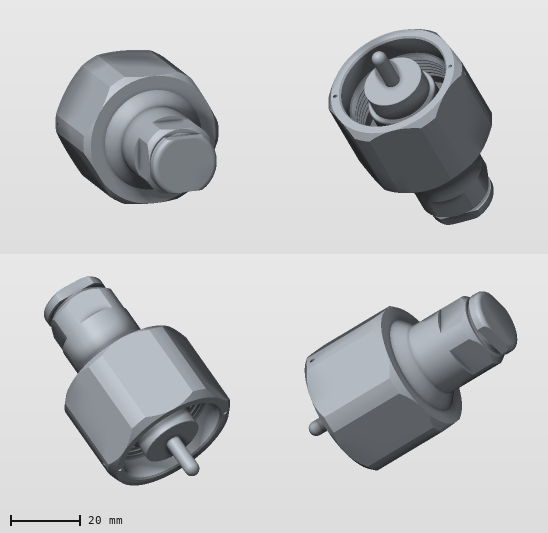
import cadquery as cq
import math


nut_front_x = 12.65
nut_rear_x = 40.4
cone_end_x = 44.1
flats_start_x = 54.85
body_end_x = 63.7
gland_front_x = 65.1
gland_rear_x = 68.4

nut_across_flats = 38.1
nut_corner_radius = 20.65
nut_chamfer_length = 2.0
bore_radius = 16.15
bore_chamfer_length = 0.55
bore_chamfer_depth = 0.5
cavity_floor_x = 32.15

lead_in_x = 19.9
lead_in_length = 0.5
thread_major_radius = 15.8
thread_minor_radius = 15.05
thread_start_x = 20.8
thread_start_radius = 15.3
thread_pitch = 1.45
thread_grooves = 6
thread_flat = 0.3
thread_flank = thread_pitch / 2 - thread_flat

wire_hole_radius = 0.55
wire_hole_face_radius = 17.7
wire_hole_exit_x = 16.75
wire_hole_overrun = 1.4

pin_radius = 2.2
core_radius = 8.8
core_chamfer = 0.15
collar_front_x = 19.3
collar_radius = 10.3
collar_round = 0.75
shoulder_x = 30.1

body_radius = 11.1
cone_radius = 14.85
body_across_flats = 19.15
body_chamfer_length = 1.7
neck_radius = 8.0
neck_bevel = 0.4

gland_radius = 9.8
gland_across_flats = 15.9
gland_round = 1.5


def revolve_about_x(profile):
    """Revolve a closed (x, radius) profile about the X axis."""
    return profile.close().revolve(360, (0, 0, 0), (1, 0, 0))


def cylinder(start_x, end_x, radius):
    """Solid cylinder on the X axis."""
    return cq.Workplane("YZ", origin=(start_x, 0, 0)).circle(radius).extrude(end_x - start_x)


def make_nut_blank():
    """Hexagon with corners on the Y axis, rounded off and chamfered at both ends."""
    length = nut_rear_x - nut_front_x
    hexagon = (
        cq.Workplane("YZ", origin=(nut_front_x, 0, 0))
        .polygon(6, nut_across_flats / math.cos(math.pi / 6))
        .extrude(length)
    )
    face_radius = nut_across_flats / 2
    envelope = revolve_about_x(
        cq.Workplane("XY")
        .moveTo(nut_front_x, 0)
        .lineTo(nut_front_x, face_radius)
        .lineTo(nut_front_x + nut_chamfer_length, nut_corner_radius)
        .lineTo(nut_rear_x - nut_chamfer_length, nut_corner_radius)
        .lineTo(nut_rear_x, face_radius)
        .lineTo(nut_rear_x, 0)
    )
    return hexagon.intersect(envelope)


def make_nut_cavity():
    """Chamfered bore with a lead-in cone, ring grooves and a plain stretch down to the floor."""
    profile = (
        cq.Workplane("XY")
        .moveTo(nut_front_x, 0)
        .lineTo(nut_front_x, bore_radius + bore_chamfer_depth)
        .lineTo(nut_front_x + bore_chamfer_length, bore_radius)
        .lineTo(lead_in_x, bore_radius)
        .lineTo(lead_in_x + lead_in_length, thread_major_radius)
        .lineTo(thread_start_x, thread_start_radius)
    )
    first_root_x = thread_start_x + thread_flat
    for groove in range(thread_grooves):
        root_x = first_root_x + groove * thread_pitch
        crest_x = root_x + thread_flat + thread_flank
        profile = (
            profile.lineTo(root_x, thread_major_radius)
            .lineTo(root_x + thread_flat, thread_major_radius)
            .lineTo(crest_x, thread_minor_radius)
        )
        if groove < thread_grooves - 1:
            profile = profile.lineTo(crest_x + thread_flat, thread_minor_radius)
    profile = (
        profile.lineTo(cavity_floor_x, thread_minor_radius)
        .lineTo(cavity_floor_x, 0)
    )
    return revolve_about_x(profile)


def make_wire_hole(side):
    """Slanted drill from the front face of the nut out through the corner on one Y side."""
    run = wire_hole_exit_x - nut_front_x
    rise = nut_corner_radius - wire_hole_face_radius
    length = math.hypot(run, rise)
    direction = cq.Vector(run / length, side * rise / length, 0)
    face_point = cq.Vector(nut_front_x, side * wire_hole_face_radius, 0)
    start = face_point - direction * wire_hole_overrun
    drill = cq.Solid.makeCylinder(wire_hole_radius, length + 2 * wire_hole_overrun, start, direction)
    return cq.Workplane(drill)


def make_core():
    """Round-nosed pin, core and rounded collar, stepping up to the body radius."""
    nose_offset = pin_radius * math.sqrt(0.5)
    round_offset = collar_round * math.sqrt(0.5)
    round_x = collar_front_x + collar_round
    round_radius = collar_radius - collar_round
    return revolve_about_x(
        cq.Workplane("XY")
        .moveTo(0, 0)
        .threePointArc((pin_radius - nose_offset, nose_offset), (pin_radius, pin_radius))
        .lineTo(nut_front_x, pin_radius)
        .lineTo(nut_front_x, core_radius - core_chamfer)
        .lineTo(nut_front_x + core_chamfer, core_radius)
        .lineTo(collar_front_x, core_radius)
        .lineTo(collar_front_x, round_radius)
        .threePointArc(
            (round_x - round_offset, round_radius + round_offset),
            (round_x, collar_radius),
        )
        .lineTo(shoulder_x, collar_radius)
        .lineTo(shoulder_x, body_radius)
        .lineTo(nut_rear_x, body_radius)
        .lineTo(nut_rear_x, 0)
    )


def make_rear_body():
    """Cone, cylinder with four flats at its end, and the neck behind it."""
    end_radius = body_across_flats / 2
    body = revolve_about_x(
        cq.Workplane("XY")
        .moveTo(nut_rear_x, 0)
        .lineTo(nut_rear_x, cone_radius)
        .lineTo(cone_end_x, body_radius)
        .lineTo(body_end_x - body_chamfer_length, body_radius)
        .lineTo(body_end_x, end_radius)
        .lineTo(body_end_x, 0)
    )
    flats_length = body_end_x - flats_start_x
    section = cq.Workplane("YZ", origin=(flats_start_x, 0, 0))
    square = section.rect(body_across_flats, body_across_flats).extrude(flats_length)
    waste = cylinder(flats_start_x, body_end_x, 2 * body_radius).cut(square)
    neck = revolve_about_x(
        cq.Workplane("XY")
        .moveTo(body_end_x, 0)
        .lineTo(body_end_x, neck_radius + neck_bevel)
        .lineTo(body_end_x + neck_bevel, neck_radius)
        .lineTo(gland_front_x, neck_radius)
        .lineTo(gland_front_x, 0)
    )
    return body.cut(waste).union(neck)


def make_gland_nut():
    """Disc with a rounded rear rim and two flats facing up and down."""
    disc = cylinder(gland_front_x, gland_rear_x, gland_radius).faces(">X").edges().fillet(gland_round)
    length = gland_rear_x - gland_front_x
    slab = (
        cq.Workplane("YZ", origin=(gland_front_x, 0, 0))
        .rect(2 * gland_radius, gland_across_flats)
        .extrude(length)
    )
    return disc.intersect(slab)


nut = make_nut_blank().cut(make_nut_cavity())
for side in (-1, 1):
    nut = nut.cut(make_wire_hole(side))

result = nut.union(make_core()).union(make_rear_body()).union(make_gland_nut())